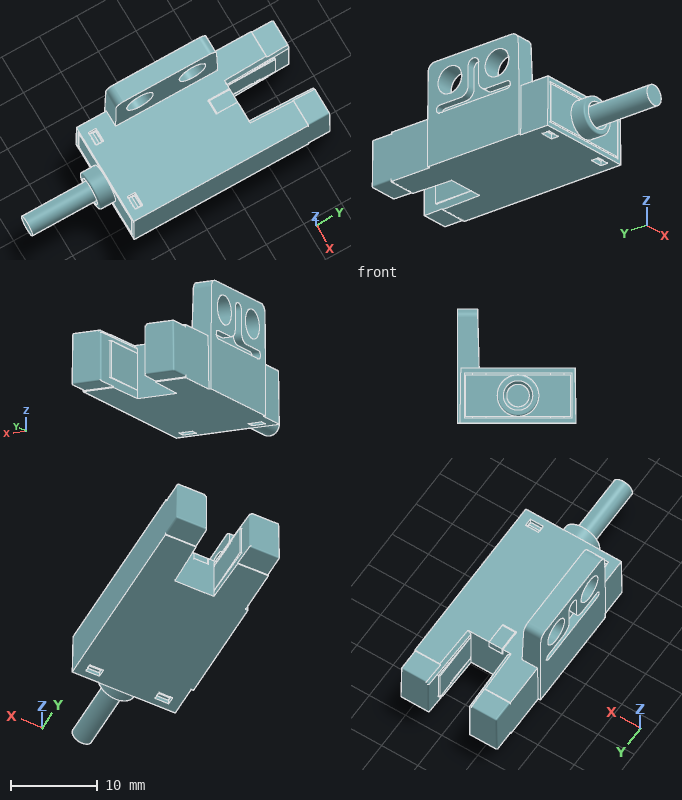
import cadquery as cq


body_length = 26.2
body_height = 6.4
half_width_bottom = 6.7
half_width_top = 6.6
axis_z = body_height / 2

slot_floor_y = 17.65
slot_half_at_floor = 2.54
slot_half_at_tip = 2.79
slot_chamfer_width = 0.43
slot_chamfer_height = 0.46

tip_start_y = 23.3
tip_step = 0.12
tip_fillet = 0.2

plate_outer_x = -7.0
plate_height = 13.2
plate_thickness_bottom = 2.53
plate_thickness_top = 2.35
plate_front_y = 17.6
plate_front_y_top = 17.52
plate_rear_y = 4.0
plate_rear_y_top = 4.15
plate_corner = 1.0
plate_mid_y = (plate_front_y + plate_rear_y) / 2
mount_hole_diameter = 3.5
mount_hole_pitch = 7.0
mount_hole_z = 10.2

relief_depth = 1.1
relief_stem_width = 1.55
relief_stem_top = 11.9
relief_bar_length = 11.0
relief_bar_bottom = 6.4
relief_bar_height = 1.0
relief_corner = 1.2

recess_half_width = 6.2
recess_height = 5.18
recess_depth = 2.5
cover_gap_sides = 0.16
cover_gap_height = 0.2
collar_diameter = 4.8
collar_length = 2.0
collar_fillet = 0.2
collar_mouth_diameter = 3.4
collar_mouth_depth = 0.8

clip_x = 4.5
clip_window_width = 1.75
clip_window_start_y = 0.9
clip_window_end_y = 1.9
clip_clearance = 0.1
clip_rise = 0.35
clip_ramp = 0.4

cable_diameter = 2.6
cable_end_y = -10.4

indicator_left_x = -1.85
indicator_right_x = 0.05
indicator_rear_y = 14.78
indicator_depth = 1.0
indicator_gap = 0.12

window_front_y = 24.2
window_half_height = 2.2
window_depth = 0.5


def box(x_range, y_range, z_range):
    """Box that fills the given ranges."""
    size = [high - low for low, high in (x_range, y_range, z_range)]
    return cq.Workplane("XY").box(*size, centered=False).translate((x_range[0], y_range[0], z_range[0]))


def y_cylinder(diameter, start_y, end_y):
    """Cylinder on the cable axis that runs forward from start_y to end_y."""
    base = cq.Workplane("XZ", origin=(0, start_y, axis_z))
    return base.circle(diameter / 2).extrude(start_y - end_y)


def make_block():
    """Long block whose sides lean inward toward the top."""
    section = [
        (-half_width_bottom, 0),
        (half_width_bottom, 0),
        (half_width_top, body_height),
        (-half_width_top, body_height),
    ]
    return cq.Workplane("XZ").polyline(section).close().extrude(-body_length)


def slot_cutter_at(z, widening):
    """Outline of the fork slot at height z, each side moved outward by widening."""
    floor_half = slot_half_at_floor + widening
    tip_half = slot_half_at_tip + widening
    outline = [
        (-floor_half, slot_floor_y),
        (floor_half, slot_floor_y),
        (tip_half, body_length),
        (-tip_half, body_length),
    ]
    return cq.Workplane("XY", origin=(0, 0, z)).polyline(outline).close()


def make_slot():
    """Slot that widens toward the tips, with its upper edges bevelled."""
    lower = slot_cutter_at(0, 0).extrude(body_height)
    bevel_z = body_height - slot_chamfer_height
    bevel = cq.Workplane("XY").add(
        cq.Solid.makeLoft(
            [
                slot_cutter_at(bevel_z, 0).wires().val(),
                slot_cutter_at(body_height, slot_chamfer_width).wires().val(),
            ],
            True,
        )
    )
    return lower.union(bevel)


def thin_tips(block):
    """Lower the top and raise the bottom of the arm tips, then round their outer edges."""
    for z_low in (0, body_height - tip_step):
        block = block.cut(
            box(
                (-half_width_bottom, half_width_bottom),
                (tip_start_y, body_length),
                (z_low, z_low + tip_step),
            )
        )
    for side in (-1, 1):
        for z in (tip_step, body_height - tip_step):
            lean = (half_width_bottom - half_width_top) * z / body_height
            outer_edge = (side * (half_width_bottom - lean), (tip_start_y + body_length) / 2, z)
            block = block.edges(cq.selectors.NearestToPointSelector(outer_edge)).fillet(tip_fillet)
    return block.faces(">Y").edges().fillet(tip_fillet)


def make_plate():
    """Upright mounting plate, tapered in thickness and leaning in at its front and rear edges."""
    side_outline = [
        (plate_front_y, 0),
        (plate_front_y, body_height),
        (plate_front_y_top, plate_height),
        (plate_rear_y_top, plate_height),
        (plate_rear_y, body_height),
        (plate_rear_y, 0),
    ]
    plate = (
        cq.Workplane("YZ", origin=(plate_outer_x, 0, 0))
        .polyline(side_outline)
        .close()
        .extrude(plate_thickness_bottom)
    )
    plate = plate.faces(">Z").edges("|X").fillet(plate_corner)
    section = [
        (plate_outer_x, 0),
        (plate_outer_x + plate_thickness_bottom, 0),
        (plate_outer_x + plate_thickness_bottom, body_height),
        (plate_outer_x + plate_thickness_top, plate_height),
        (plate_outer_x, plate_height),
    ]
    return plate.intersect(cq.Workplane("XZ").polyline(section).close().extrude(-body_length))


def make_mount_holes():
    """Two holes across the plate."""
    return (
        cq.Workplane("YZ", origin=(plate_outer_x, plate_mid_y, mount_hole_z))
        .rarray(mount_hole_pitch, 1, 2, 1)
        .circle(mount_hole_diameter / 2)
        .extrude(plate_thickness_bottom)
    )


def make_relief():
    """Blind T-shaped relief with round ends and filleted inner corners."""
    bar_mid_z = relief_bar_bottom + relief_bar_height / 2
    stem_length = relief_stem_top - relief_bar_bottom - relief_bar_height / 2
    face = cq.Workplane("YZ", origin=(plate_outer_x, plate_mid_y, 0))
    bar = face.center(0, bar_mid_z).slot2D(relief_bar_length, relief_bar_height).extrude(relief_depth)
    stem = (
        face.center(0, bar_mid_z + (stem_length - relief_stem_width / 2) / 2)
        .rect(relief_stem_width, stem_length - relief_stem_width / 2)
        .extrude(relief_depth)
    )
    stem_end = (
        face.center(0, relief_stem_top - relief_stem_width / 2)
        .circle(relief_stem_width / 2)
        .extrude(relief_depth)
    )
    relief = bar.union(stem)
    for side in (-1, 1):
        corner = (
            plate_outer_x + relief_depth / 2,
            plate_mid_y + side * relief_stem_width / 2,
            relief_bar_bottom + relief_bar_height,
        )
        relief = relief.edges(cq.selectors.NearestToPointSelector(corner)).fillet(relief_corner)
    return relief.union(stem_end)


def make_clip_windows():
    """Openings through the top and bottom walls, two in each."""
    windows = cq.Workplane("XY")
    for side in (-1, 1):
        mid_x = side * clip_x
        x_range = (mid_x - clip_window_width / 2, mid_x + clip_window_width / 2)
        windows = windows.union(box(x_range, (clip_window_start_y, clip_window_end_y), (0, body_height)))
    return windows


def make_indicator_recess():
    """Step at the slot floor that holds the indicator."""
    return box(
        (indicator_left_x, indicator_right_x),
        (indicator_rear_y, slot_floor_y),
        (body_height - indicator_depth, body_height),
    )


def make_housing():
    housing = thin_tips(make_block().cut(make_slot()))
    housing = housing.union(make_plate()).cut(make_mount_holes()).cut(make_relief())
    recess = box(
        (-recess_half_width, recess_half_width),
        (0, recess_depth),
        (axis_z - recess_height / 2, axis_z + recess_height / 2),
    )
    housing = housing.cut(recess).cut(make_clip_windows()).cut(make_indicator_recess())
    for side in (-1, 1):
        housing = housing.cut(make_window(side))
    return housing


def make_clip(side, upward):
    """Snap clip on the top (upward = 1) or bottom (upward = -1) of the cover, ramped at its front."""
    width = clip_window_width - 2 * clip_clearance
    rear_y = clip_window_start_y + clip_clearance
    front_y = clip_window_end_y - clip_clearance
    root_z = axis_z + upward * (recess_height / 2 - cover_gap_height)
    crest_z = root_z + upward * clip_rise
    profile = [
        (rear_y, axis_z),
        (rear_y, crest_z),
        (front_y - clip_ramp, crest_z),
        (front_y, root_z),
        (front_y, axis_z),
    ]
    return (
        cq.Workplane("YZ", origin=(side * clip_x - width / 2, 0, 0)).polyline(profile).close().extrude(width)
    )


def make_cover():
    """Rear plug with a cable collar and four snap clips."""
    half_width = recess_half_width - cover_gap_sides
    half_height = recess_height / 2 - cover_gap_height
    cover = box((-half_width, half_width), (0, recess_depth), (axis_z - half_height, axis_z + half_height))
    collar = y_cylinder(collar_diameter, -collar_length, 0)
    collar = collar.faces("<Y").edges().fillet(collar_fillet)
    cover = cover.union(collar)
    for side in (-1, 1):
        for upward in (-1, 1):
            cover = cover.union(make_clip(side, upward))
    mouth = cq.Workplane("XY").add(
        cq.Solid.makeCone(
            collar_mouth_diameter / 2,
            cable_diameter / 2,
            collar_mouth_depth,
            cq.Vector(0, -collar_length, axis_z),
            cq.Vector(0, 1, 0),
        )
    )
    return cover.cut(mouth).cut(make_cable())


def make_cable():
    """Cable that ends on the floor of the cover recess."""
    return y_cylinder(cable_diameter, cable_end_y, recess_depth)


def make_indicator():
    """Indicator block, clear of its recess on the left and rear sides."""
    return box(
        (indicator_left_x + indicator_gap, indicator_right_x),
        (indicator_rear_y + indicator_gap, slot_floor_y),
        (body_height - indicator_depth, body_height),
    )


def make_window(side):
    """Straight optical window let into the wall of one arm."""
    inner_x = side * slot_half_at_floor
    outer_x = side * (slot_half_at_floor + window_depth)
    return box(
        (min(inner_x, outer_x), max(inner_x, outer_x)),
        (slot_floor_y, window_front_y),
        (axis_z - window_half_height, axis_z + window_half_height),
    )


housing = make_housing()
cover = make_cover()
cable = make_cable()
indicator = make_indicator()
windows = [make_window(side) for side in (-1, 1)]

result = cq.Compound.makeCompound(
    [housing.val(), cover.val(), cable.val(), indicator.val(), *[window.val() for window in windows]]
)